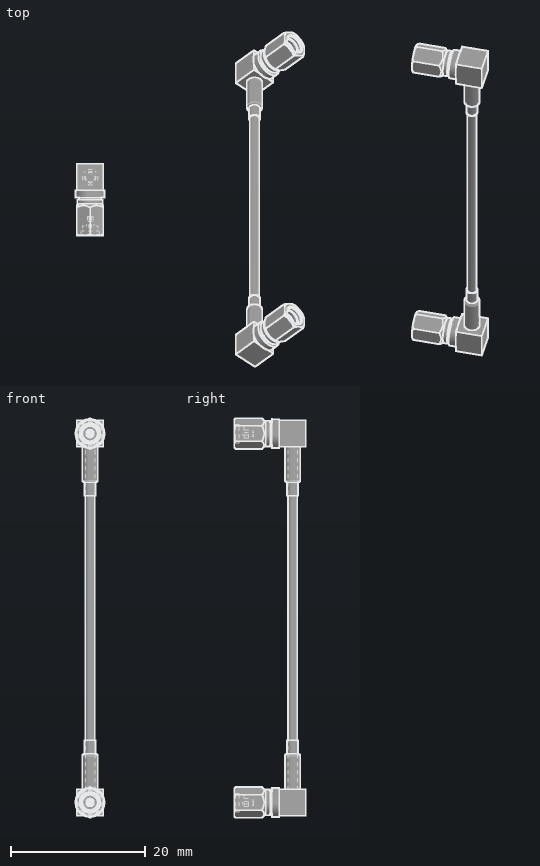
import cadquery as cq
import math

overall_height = 59.35
overall_depth = 10.7
block_size = 4.0
hex_flats = 4.0
hex_corners = hex_flats / math.cos(math.pi / 6)
axis_height = (overall_height - hex_corners) / 2
cable_end = axis_height - block_size / 2

collar_length = 1.05
collar_diameter = 4.35
groove_length = 0.3
groove_diameter = 3.3
neck_length = 0.65
neck_diameter = 3.85
groove_start = block_size + collar_length
neck_start = groove_start + groove_length
nut_start = neck_start + neck_length
nut_length = overall_depth - nut_start
nut_back_chamfer = 0.55
nut_front_chamfer = 0.25

mouth_radius = 1.55
socket_radii = (1.35, 1.1, 0.6, 0.4)
socket_step_depth = 0.7
socket_depth = len(socket_radii) * socket_step_depth
mouth_flare = mouth_radius - socket_radii[0]
pin_diameter = 0.35
pin_recess = 1.2

cable_diameter = 1.4
ferrule_diameter = 2.3
ferrule_length = 5.2
ferrule_fillet = 0.3
tail_diameter = 1.65
tail_length = 2.0


def axial_cylinder(diameter, start, length):
    """Cylinder along Z that begins at height `start`."""
    return cq.Workplane("XY").workplane(offset=start).circle(diameter / 2).extrude(length)


def make_hexagonal_grip():
    """Hexagon with flats facing +X and -X, its corners turned off conically at both ends."""
    hexagon = (
        cq.Workplane("XY")
        .workplane(offset=nut_start)
        .transformed(rotate=(0, 0, 30))
        .polygon(6, hex_corners)
        .extrude(nut_length)
    )
    turned_blank = (
        axial_cylinder(hex_corners, nut_start, nut_length)
        .faces("<Z").chamfer(nut_back_chamfer)
        .faces(">Z").chamfer(nut_front_chamfer)
    )
    return hexagon.intersect(turned_blank)


def make_socket():
    """Cavity with a flared mouth that narrows in steps and leaves the centre pin standing."""
    flare = cq.Solid.makeCone(
        socket_radii[0], mouth_radius, mouth_flare, pnt=cq.Vector(0, 0, overall_depth - mouth_flare)
    )
    cavity = cq.Workplane("XY").add(flare)
    for step, radius in enumerate(socket_radii, start=1):
        depth = step * socket_step_depth
        cavity = cavity.union(axial_cylinder(2 * radius, overall_depth - depth, depth))
    pin = axial_cylinder(pin_diameter, overall_depth - socket_depth, socket_depth - pin_recess)
    return cavity.cut(pin)


def make_connector():
    """Right-angle connector at the upper end: block, collar, grooved neck and hexagonal grip."""
    upright = (
        cq.Workplane("XY")
        .box(block_size, block_size, block_size, centered=(True, True, False))
        .union(axial_cylinder(collar_diameter, block_size, collar_length))
        .union(axial_cylinder(groove_diameter, groove_start, groove_length))
        .union(axial_cylinder(neck_diameter, neck_start, neck_length))
        .union(make_hexagonal_grip())
        .cut(make_socket())
    )
    facing_front = upright.rotate((0, 0, 0), (1, 0, 0), 90)
    return facing_front.translate((0, block_size / 2, axis_height))


def make_ferrule():
    """Stepped sleeve around the upper cable end, butted against the block."""
    total_length = ferrule_length + tail_length
    tail_start = cable_end - total_length
    shoulder = (
        axial_cylinder(ferrule_diameter, cable_end - ferrule_length, ferrule_length)
        .faces("<Z").edges().fillet(ferrule_fillet)
    )
    tail = axial_cylinder(tail_diameter, tail_start, total_length)
    bore = axial_cylinder(cable_diameter, tail_start, total_length)
    return shoulder.union(tail).cut(bore)


def make_cable():
    """Plain round cable that reaches from block to block."""
    return axial_cylinder(cable_diameter, -cable_end, 2 * cable_end)


bodies = [make_cable().val()]
for end_turn in (0, 180):
    for end_body in (make_connector(), make_ferrule()):
        bodies.append(end_body.rotate((0, 0, 0), (0, 1, 0), end_turn).solids().val())

result = cq.Compound.makeCompound(bodies)